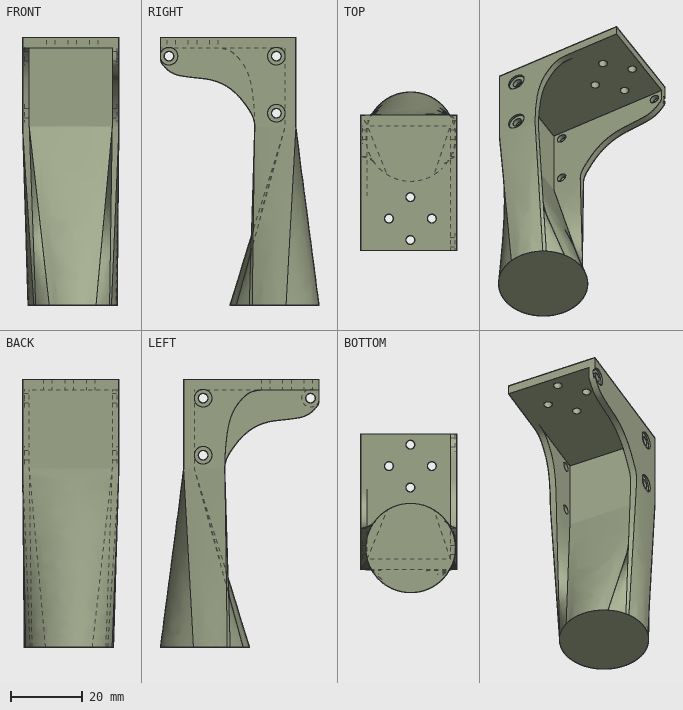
import cadquery as cq
import math

width = 27.0
depth = 37.95
height = 75.0
leg_height = 50.0
roof_thickness = 3.0
cheek_thickness = 1.9
back_thickness = 3.0
flange_depth = 11.55
flange_front = depth - flange_depth
back_front = depth - back_thickness
roof_underside = height - roof_thickness

foot_radius = 12.5
foot_back = 44.5
foot_x = 14.0
foot_y = foot_back - foot_radius
channel_angle = 31.5
flange_inner_angle = 55.7
flange_outer_angle = 60.2
rear_angle = 105.0

screw_diameter = 2.6
counterbore_diameter = 4.95
counterbore_depth = 0.5
screw_z = 69.75
screw_spacing = 16.0
rear_screw_y = 32.5
front_screw_y = 2.4
roof_hole_diameter = 2.4
roof_hole_x = 13.95
roof_hole_y = 9.0
roof_hole_offset = 6.0

arch_curve = [
    (flange_front, leg_height), (25.8, 59.6), (23.4, 67.2), (21.0, 70.1),
    (15.5, roof_underside),
]
arm_curve = [
    (flange_front, leg_height), (24.45, 55.3), (21.4, 59.1), (17.55, 61.9),
    (14.2, 63.1), (6.6, 64.05), (2.5, 65.55), (0.5, 67.5), (0, 70.1),
]
upward = (0, 1)
forward = (-1, 0)


def cheek(x_start, curve, end_direction):
    """Side wall bounded by the back, the top and a curved front edge."""
    curve_end_y = curve[-1][0]
    outline = (
        cq.Workplane("YZ", origin=(x_start, 0, 0))
        .moveTo(depth, leg_height)
        .lineTo(*curve[0])
        .spline(curve[1:], tangents=[upward, end_direction], includeCurrent=True)
        .lineTo(curve_end_y, height)
        .lineTo(depth, height)
        .close()
    )
    return outline.extrude(cheek_thickness)


def foot_point(angle):
    """Point on the foot circle, turning from -Y towards +X."""
    turn = math.radians(angle)
    return cq.Vector(foot_x + foot_radius * math.sin(turn), foot_y - foot_radius * math.cos(turn), 0)


def leg():
    """Ruled blend from the round foot to the U-shaped section under the bracket."""
    right_angles = [channel_angle, flange_inner_angle, flange_outer_angle, rear_angle]
    left_angles = [360 - angle for angle in reversed(right_angles)]
    angles = right_angles + left_angles
    channel_right = width - cheek_thickness
    section = [
        (channel_right, back_front),
        (channel_right, flange_front),
        (width, flange_front),
        (width, depth),
        (0, depth),
        (0, flange_front),
        (cheek_thickness, flange_front),
        (cheek_thickness, back_front),
    ]
    corners = [cq.Vector(x, y, leg_height) for x, y in section]
    foot_edges = []
    section_edges = []
    for index, start in enumerate(angles):
        following = (index + 1) % len(angles)
        end = angles[following] if following else angles[0] + 360
        middle = (start + end) / 2
        foot_edges.append(
            cq.Edge.makeThreePointArc(foot_point(start), foot_point(middle), foot_point(end))
        )
        section_edges.append(cq.Edge.makeLine(corners[index], corners[following]))
    wires = [cq.Wire.assembleEdges(foot_edges), cq.Wire.assembleEdges(section_edges)]
    return cq.Workplane(cq.Solid.makeLoft(wires, True))


def cross_hole(y, z, diameter, x_start, length):
    """Cutter running along X."""
    return cq.Workplane("YZ", origin=(x_start, y, z)).circle(diameter / 2).extrude(length)


roof = cq.Workplane().box(width, depth, roof_thickness, centered=False)
roof = roof.translate((0, 0, roof_underside))
back = cq.Workplane().box(width, back_thickness, height - leg_height, centered=False)
back = back.translate((0, back_front, leg_height))

result = (
    roof.union(back)
    .union(cheek(0, arch_curve, forward))
    .union(cheek(width - cheek_thickness, arm_curve, upward))
    .union(leg())
)

paired_screws = [(rear_screw_y, screw_z), (rear_screw_y, screw_z - screw_spacing)]
arm_screw = (front_screw_y, screw_z)
right_recess = width - counterbore_depth
for y, z in paired_screws + [arm_screw]:
    result = result.cut(cross_hole(y, z, screw_diameter, 0, width))
    result = result.cut(cross_hole(y, z, counterbore_diameter, right_recess, counterbore_depth))
for y, z in paired_screws:
    result = result.cut(cross_hole(y, z, counterbore_diameter, 0, counterbore_depth))

roof_holes = (
    cq.Workplane("XY", origin=(roof_hole_x, roof_hole_y, roof_underside))
    .polarArray(roof_hole_offset, 0, 360, 4)
    .circle(roof_hole_diameter / 2)
    .extrude(roof_thickness)
)
result = result.cut(roof_holes)